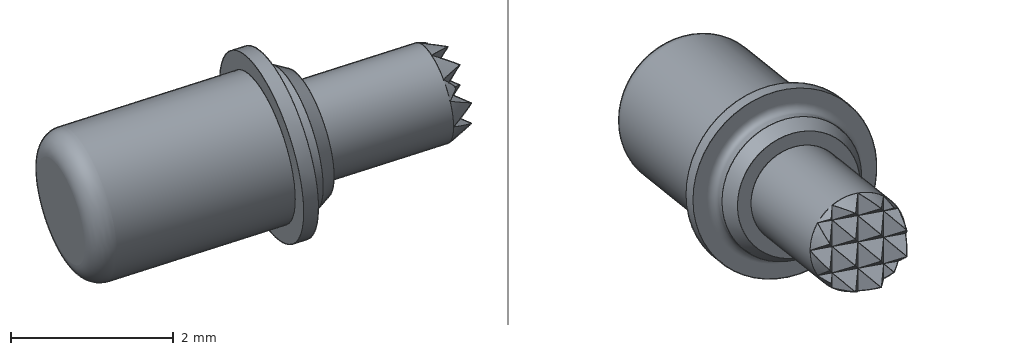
import cadquery as cq
import math


barrel_radius = 1.0
barrel_length = 2.7
barrel_end_rounding = 0.3
flange_radius = 1.25
flange_thickness = 0.2

collar_radius = 0.95
collar_length = 0.4
collar_chamfer_length = 0.2
collar_chamfer_angle = math.radians(30)
collar_foot_fillet = 0.1

plunger_radius = 0.65
plunger_reach = 2.4
tooth_pitch = 0.35
groove_half_angle = math.radians(30)
crown_tip_radius = 0.55
groove_positions = (-2, -1, 0, 1, 2)

tooth_height = tooth_pitch / 2 / math.tan(groove_half_angle)
crown_base_y = plunger_reach - tooth_height
collar_front_radius = collar_radius - collar_chamfer_length * math.tan(collar_chamfer_angle)
barrel_front_y = -flange_thickness
barrel_end_y = barrel_front_y - barrel_length


def make_body():
    """Revolve the half profile of the whole pin, with a tapered blank for the crown."""
    end_face_radius = barrel_radius - barrel_end_rounding
    rounding_mid_offset = barrel_end_rounding * math.sqrt(0.5)
    fillet_mid_offset = collar_foot_fillet * (1 - math.sqrt(0.5))
    profile = (
        cq.Workplane("XY")
        .moveTo(0, barrel_end_y)
        .lineTo(end_face_radius, barrel_end_y)
        .threePointArc(
            (
                end_face_radius + rounding_mid_offset,
                barrel_end_y + barrel_end_rounding - rounding_mid_offset,
            ),
            (barrel_radius, barrel_end_y + barrel_end_rounding),
        )
        .lineTo(barrel_radius, barrel_front_y)
        .lineTo(flange_radius, barrel_front_y)
        .lineTo(flange_radius, 0)
        .lineTo(collar_radius + collar_foot_fillet, 0)
        .threePointArc(
            (collar_radius + fillet_mid_offset, fillet_mid_offset),
            (collar_radius, collar_foot_fillet),
        )
        .lineTo(collar_radius, collar_length - collar_chamfer_length)
        .lineTo(collar_front_radius, collar_length)
        .lineTo(plunger_radius, collar_length)
        .lineTo(plunger_radius, crown_base_y)
        .lineTo(crown_tip_radius, plunger_reach)
        .lineTo(0, plunger_reach)
        .close()
    )
    return profile.revolve(360, (0, 0, 0), (0, 1, 0))


def make_groove(offset):
    """V groove running along Z, its bottom edge at X = offset on the crown base."""
    overshoot = 0.1
    groove_reach = plunger_radius + overshoot
    top_y = plunger_reach + overshoot
    half_width = (top_y - crown_base_y) * math.tan(groove_half_angle)
    return (
        cq.Workplane("XY")
        .moveTo(offset, crown_base_y)
        .lineTo(offset + half_width, top_y)
        .lineTo(offset - half_width, top_y)
        .close()
        .extrude(groove_reach, both=True)
    )


def cut_crown(body):
    """Cut two crossing sets of V grooves, leaving a grid of pointed teeth."""
    for position in groove_positions:
        groove = make_groove(position * tooth_pitch)
        crossing_groove = groove.rotate((0, 0, 0), (0, 1, 0), 90)
        body = body.cut(groove).cut(crossing_groove)
    return body


result = cut_crown(make_body())